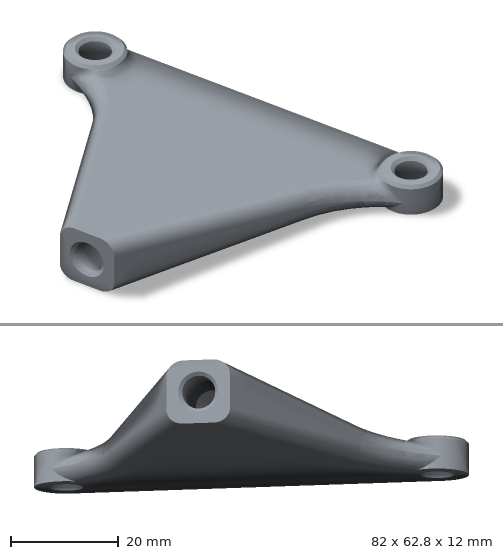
import cadquery as cq
import math

eye_spacing = 70.0
eye_radius = 6.0
eye_height = 6.4
eye_edge_chamfer = 0.6

overall_length = 62.79
nose_width = 12.0
nose_height = 11.98
back_height = 3.77
side_angle = math.radians(24.9)
blend_radius = 25.0
edge_round = 2.75
collar_round = 1.3
back_spare = 4.0

bore_diameter = 6.22
bore_chamfer = 0.65
nose_bore_depth = 15.0
drill_tip_angle = math.radians(118)

tolerance = 0.001

eye_x = eye_spacing / 2
back_y = eye_radius
nose_y = back_y - overall_length
spare_y = back_y + back_spare
half_nose = nose_width / 2
top_slope = (nose_height - back_height) / overall_length


def blend_arc():
    """Return start, middle and end of the +X arc, tangent to the side line and touching the eye."""
    sine = math.sin(side_angle)
    cosine = math.cos(side_angle)
    foot_x = half_nose + blend_radius * cosine - eye_x
    foot_y = nose_y - blend_radius * sine
    reach = blend_radius + eye_radius
    nearest = -(foot_x * sine + foot_y * cosine)
    offset = foot_x * cosine - foot_y * sine
    travel = nearest - math.sqrt(reach**2 - offset**2)
    center_x = foot_x + travel * sine + eye_x
    center_y = foot_y + travel * cosine

    start_angle = math.pi - side_angle
    end_angle = math.atan2(-center_y, eye_x - center_x)

    def on_arc(angle):
        return (center_x + blend_radius * math.cos(angle), center_y + blend_radius * math.sin(angle))

    return on_arc(start_angle), on_arc((start_angle + end_angle) / 2), on_arc(end_angle)


def make_blank():
    """Return the +X half of the web as an upright prism, with spare stock behind the back edge."""
    start, middle, end = blend_arc()
    return (
        cq.Workplane("XY")
        .moveTo(0, nose_y)
        .lineTo(half_nose, nose_y)
        .lineTo(*start)
        .threePointArc(middle, end)
        .lineTo(eye_x, 0)
        .lineTo(eye_x, spare_y)
        .lineTo(0, spare_y)
        .close()
        .extrude(nose_height)
    )


def make_wedge():
    """Return a wide block with the sloping top of the web."""
    return (
        cq.Workplane("YZ")
        .moveTo(nose_y, 0)
        .lineTo(spare_y, 0)
        .lineTo(spare_y, back_height - top_slope * back_spare)
        .lineTo(nose_y, nose_height)
        .close()
        .extrude(eye_spacing, both=True)
    )


def side_edges(web, face_selector):
    """Return the straight and curved side edges bounding the chosen face."""
    _, _, arc_end = blend_arc()
    return [
        edge
        for edge in web.faces(face_selector).edges().vals()
        if edge.Center().x > half_nose and nose_y < edge.Center().y < arc_end[1]
    ]


def add_eye(body):
    """Add the eye at full web height, so the collar round has a wall to run up."""
    return body.union(cq.Workplane("XY").center(eye_x, 0).circle(eye_radius).extrude(nose_height))


def collar_edges(body):
    """Return the edge where the flat sloping top meets the eye wall."""
    return [
        edge
        for edge in body.edges("%ELLIPSE").vals()
        if abs(math.hypot(edge.endPoint().x - eye_x, edge.endPoint().y) - eye_radius) < tolerance
    ]


def make_layer(bottom, top):
    """Return a flat slab that covers the whole plan of the part between two heights."""
    size = 2 * (eye_spacing + overall_length)
    layer = cq.Workplane("XY").box(size, size, top - bottom, centered=(True, True, False))
    return layer.translate((0, 0, bottom))


def make_rounded_half():
    """Build half the web and a tall eye in two layers that join at the top of the lower side rounds."""
    blank = make_blank()
    round_below = blank.newObject(side_edges(blank, "<Z")).fillet(edge_round)
    sharp = blank.intersect(make_wedge())
    round_above = sharp.newObject(side_edges(sharp, ">Z")).fillet(edge_round)

    lower = add_eye(round_above.intersect(round_below))
    lower = lower.intersect(make_layer(0, edge_round))

    upper = add_eye(round_above)
    upper = upper.newObject(collar_edges(upper)).fillet(collar_round)
    upper = upper.intersect(make_layer(edge_round, nose_height))
    return upper.union(lower)


def cut_back_edge(body):
    stock = cq.Workplane("XY").box(2 * eye_spacing, back_spare, nose_height, centered=(True, False, False))
    return body.cut(stock.translate((0, back_y, 0)))


def trim_eye(body):
    """Cut the eye, and any collar reaching as high, down to a chamfered top."""
    shoulder = eye_height - eye_edge_chamfer
    trim_radius = eye_radius + collar_round + eye_edge_chamfer
    cutter = (
        cq.Workplane("XZ")
        .moveTo(0, eye_height)
        .lineTo(eye_radius - eye_edge_chamfer, eye_height)
        .lineTo(eye_radius, shoulder)
        .lineTo(trim_radius, shoulder)
        .lineTo(trim_radius, nose_height)
        .lineTo(0, nose_height)
        .close()
        .revolve(360, (0, 0, 0), (0, 1, 0))
    )
    return body.cut(cutter.translate((eye_x, 0, 0)))


def make_bore(depth, tip_length=0):
    """Return a round cutter that enters at z = 0 and runs along +Z, chamfered at its mouth."""
    radius = bore_diameter / 2
    return (
        cq.Workplane("XZ")
        .lineTo(radius + bore_chamfer, 0)
        .lineTo(radius, bore_chamfer)
        .lineTo(radius, depth)
        .lineTo(0, depth + tip_length)
        .close()
        .revolve(360, (0, 0, 0), (0, 1, 0))
    )


def cut_eye_bore(body):
    bore = make_bore(eye_height).rotate((0, 0, 0), (1, 0, 0), 180)
    return body.cut(bore.translate((eye_x, 0, eye_height)))


def cut_nose_bore(body):
    tip_length = bore_diameter / 2 / math.tan(drill_tip_angle / 2)
    bore = make_bore(nose_bore_depth, tip_length).rotate((0, 0, 0), (1, 0, 0), -90)
    return body.cut(bore.translate((0, nose_y, nose_height / 2)))


half = make_rounded_half()
half = trim_eye(half)
half = cut_back_edge(half)
half = cut_eye_bore(half)
body = half.union(half.mirror("YZ"))
result = cut_nose_bore(body)